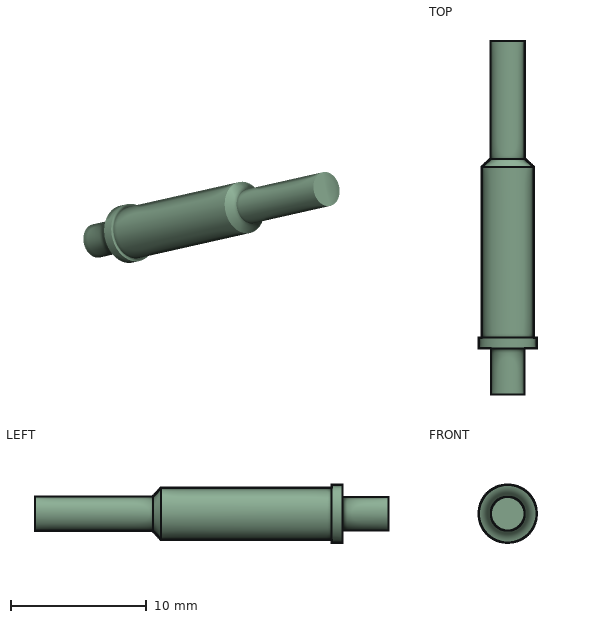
import cadquery as cq

tip_diameter = 2.5
collar_diameter = 4.3
body_diameter = 3.85
tail_diameter = 2.55

overall_length = 26.1
tip_length = 3.4
collar_length = 0.8
body_length = 12.6
taper_length = 0.6
tail_length = overall_length - tip_length - collar_length - body_length - taper_length

tip_end = -tip_length
body_start = collar_length
taper_start = body_start + body_length
tail_start = taper_start + taper_length
tail_end = tail_start + tail_length


def turned_pin():
    """Revolve the half profile (radius along X) about the Y axis."""
    half_profile = (
        cq.Workplane("XY")
        .moveTo(0, tip_end)
        .lineTo(tip_diameter / 2, tip_end)
        .lineTo(tip_diameter / 2, 0)
        .lineTo(collar_diameter / 2, 0)
        .lineTo(collar_diameter / 2, body_start)
        .lineTo(body_diameter / 2, body_start)
        .lineTo(body_diameter / 2, taper_start)
        .lineTo(tail_diameter / 2, tail_start)
        .lineTo(tail_diameter / 2, tail_end)
        .lineTo(0, tail_end)
        .close()
    )
    return half_profile.revolve(360, (0, 0, 0), (0, 1, 0))


result = turned_pin()